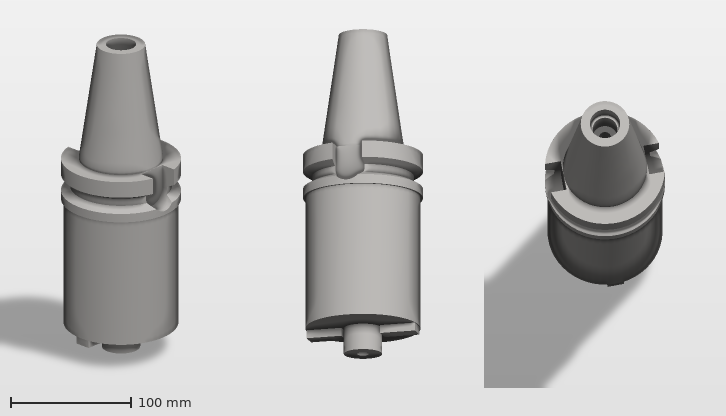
import cadquery as cq

total_length = 273.8
taper_length = 101.9
taper_large_radius = 35.0
taper_ratio = 7 / 24
taper_small_radius = taper_large_radius - taper_length * taper_ratio / 2

flange_radius = 49.97
flange_top = -1.5
flange_bottom = -38.0
groove_root_radius = 42.5
groove_center = -23.0
groove_root_width = 6.5
groove_open_width = 14.8

body_radius = 48.0
body_bottom = -150.0
pilot_radius = 16.02
pilot_bottom = taper_length - total_length

bore_radius = 12.5
bore_depth = 13.1
inner_bore_radius = 10.5
inner_bore_depth = 32.9
through_radius = 5.07

slot_width = 25.7
slot_floor = 35.0
slot_bottom = -34.5

key_width = 14.0
key_height = 6.8
key_inner = 16.7
key_outer = 46.8


def turned_blank():
    profile = [
        (0, pilot_bottom),
        (pilot_radius, pilot_bottom),
        (pilot_radius, body_bottom),
        (body_radius, body_bottom),
        (body_radius, flange_bottom),
        (flange_radius, flange_bottom),
        (flange_radius, groove_center - groove_open_width / 2),
        (groove_root_radius, groove_center - groove_root_width / 2),
        (groove_root_radius, groove_center + groove_root_width / 2),
        (flange_radius, groove_center + groove_open_width / 2),
        (flange_radius, flange_top),
        (taper_large_radius, flange_top),
        (taper_large_radius, 0),
        (taper_small_radius, taper_length),
        (0, taper_length),
    ]
    return cq.Workplane("XZ").polyline(profile).close().revolve(360, (0, 0), (0, 1))


def hole_from_top(radius, depth):
    return cq.Workplane("XY").workplane(offset=taper_length).circle(radius).extrude(-depth)


def drive_slot(side):
    """Round-bottomed slot, open at the flange top and rim, on the +X or -X side."""
    half_width = slot_width / 2
    arc_height = slot_bottom + half_width
    return (
        cq.Workplane("YZ")
        .workplane(offset=side * slot_floor)
        .moveTo(-half_width, flange_top)
        .lineTo(-half_width, arc_height)
        .threePointArc((0, slot_bottom), (half_width, arc_height))
        .lineTo(half_width, flange_top)
        .close()
        .extrude(side * flange_radius)
    )


def drive_key(side):
    """Rectangular key below the body end face, on the +Y or -Y side."""
    key_center = side * (key_inner + key_outer) / 2
    return (
        cq.Workplane("XY")
        .workplane(offset=body_bottom)
        .center(0, key_center)
        .rect(key_width, key_outer - key_inner)
        .extrude(-key_height)
    )


result = turned_blank()
for side in (-1, 1):
    result = result.cut(drive_slot(side)).union(drive_key(side))

result = result.cut(hole_from_top(bore_radius, bore_depth))
result = result.cut(hole_from_top(inner_bore_radius, inner_bore_depth))
result = result.cut(hole_from_top(through_radius, total_length))